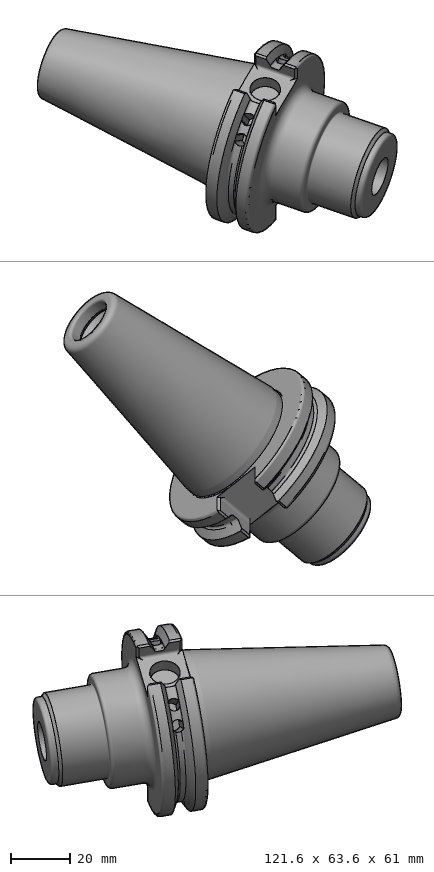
import cadquery as cq
import math

total_length = 121.6
flange_start = 71.3
flange_end = 87.2
flange_middle = (flange_start + flange_end) / 2
root_rounding = 0.4

gauge_plane = 68.2
gauge_radius = 22.3
taper_slope = 7 / 48
small_end_radius = gauge_radius - gauge_plane * taper_slope
small_end_rounding = 2.1

flange_radius = 31.8
flange_rounding = 1.0
groove_top_half_width = 3.5
groove_bottom_half_width = 1.8
groove_side_angle = math.radians(60)
groove_side_depth = (groove_top_half_width - groove_bottom_half_width) * math.tan(groove_side_angle)
groove_corner_rounding = 0.9
groove_floor_radius = flange_radius - groove_side_depth - groove_corner_rounding

collar_end = 102.0
collar_radius = 19.7
collar_root_rounding = 3.0
collar_edge_rounding = 1.2
nose_end = 119.2
nose_radius = 16.0
spigot_radius = 15.0
nose_chamfer = nose_radius - spigot_radius
spigot_rounding = 1.1

bore_radius = 6.7
pilot_radius = 8.0
pilot_depth = 4.4
pilot_mouth_rounding = 1.0
undercut_radius = 8.5
undercut_length = 0.7
countersink_depth = undercut_radius - bore_radius

slot_width = 16.2
upper_slot_floor = 24.8
lower_slot_floor = 22.5
slot_corner_rounding = 1.0
slot_edge_chamfer = 0.9
slot_rim_chamfer_drop = 0.6

pocket_diameter = 10.2
pocket_depth = 4.6

groove_hole_diameter = 4.3
groove_hole_depth = 8.5
groove_hole_angles = (30, 45)


def revolve_about_x(sketch):
    return sketch.close().revolve(360, (0, 0, 0), (1, 0, 0))


def taper_shank():
    """7:24 taper followed by a short straight neck that runs into the flange."""
    sketch = (
        cq.Workplane("XY")
        .lineTo(0, small_end_radius)
        .lineTo(gauge_plane, gauge_radius)
        .lineTo(flange_middle, gauge_radius)
        .lineTo(flange_middle, 0)
    )
    return revolve_about_x(sketch).faces("<X").edges().fillet(small_end_rounding)


def flange():
    length = flange_end - flange_start
    disc = cq.Workplane("YZ", origin=(flange_start, 0, 0)).circle(flange_radius).extrude(length)
    return disc.edges().fillet(flange_rounding)


def flange_root_ring():
    """Concave ring blending the shank into the flange face."""
    r = root_rounding
    sketch = (
        cq.Workplane("XY")
        .moveTo(flange_start - r, gauge_radius)
        .radiusArc((flange_start, gauge_radius + r), -r)
        .lineTo(flange_start + r, gauge_radius + r)
        .lineTo(flange_start + r, gauge_radius)
    )
    return revolve_about_x(sketch)


def front_body():
    """Collar, nose and end spigot in one stepped profile."""
    root = collar_root_rounding
    edge = collar_edge_rounding
    sketch = (
        cq.Workplane("XY")
        .moveTo(flange_middle, 0)
        .lineTo(flange_middle, collar_radius + root)
        .lineTo(flange_end, collar_radius + root)
        .radiusArc((flange_end + root, collar_radius), -root)
        .lineTo(collar_end - edge, collar_radius)
        .radiusArc((collar_end, collar_radius - edge), edge)
        .lineTo(collar_end, nose_radius + root_rounding)
        .radiusArc((collar_end + root_rounding, nose_radius), -root_rounding)
        .lineTo(nose_end - nose_chamfer, nose_radius)
        .lineTo(nose_end, spigot_radius)
        .lineTo(total_length - spigot_rounding, spigot_radius)
        .radiusArc((total_length, spigot_radius - spigot_rounding), spigot_rounding)
        .lineTo(total_length, 0)
    )
    return revolve_about_x(sketch)


def bore():
    """Through bore with a rounded pilot, an undercut and a 45-degree countersink."""
    mouth = pilot_mouth_rounding
    countersink_start = pilot_depth + undercut_length
    countersink_end = countersink_start + countersink_depth
    sketch = (
        cq.Workplane("XY")
        .lineTo(0, pilot_radius + mouth)
        .radiusArc((mouth, pilot_radius), -mouth)
        .lineTo(pilot_depth, pilot_radius)
        .lineTo(pilot_depth, undercut_radius)
        .lineTo(countersink_start, undercut_radius)
        .lineTo(countersink_end, bore_radius)
        .lineTo(total_length, bore_radius)
        .lineTo(total_length, 0)
    )
    return revolve_about_x(sketch)


def v_groove():
    """Ring cutter: sloping sides above a narrow channel with rounded floor corners."""
    side_end_radius = flange_radius - groove_side_depth
    floor_half_width = groove_bottom_half_width - groove_corner_rounding
    sketch = (
        cq.Workplane("XY", origin=(flange_middle, 0, 0))
        .moveTo(-groove_top_half_width, flange_radius)
        .lineTo(-groove_bottom_half_width, side_end_radius)
        .radiusArc((-floor_half_width, groove_floor_radius), -groove_corner_rounding)
        .lineTo(floor_half_width, groove_floor_radius)
        .radiusArc((groove_bottom_half_width, side_end_radius), -groove_corner_rounding)
        .lineTo(groove_top_half_width, flange_radius)
    )
    return revolve_about_x(sketch)


def drive_slot(floor):
    """Upward-opening slot cutter with rounded floor corners and chamfered edges."""
    length = flange_end - flange_start
    height = flange_radius - floor
    half_width = slot_width / 2
    channel = (
        cq.Workplane("XY", origin=(flange_middle, 0, floor))
        .rect(length, slot_width)
        .extrude(height)
        .edges("|X and <Z")
        .fillet(slot_corner_rounding)
    )
    flared_half_width = half_width + slot_edge_chamfer
    slot_floor_plane = cq.Workplane("XY", origin=(0, 0, floor))

    for face, inward in ((flange_start, 1), (flange_end, -1)):
        tip = face + inward * flared_half_width
        flare = slot_floor_plane.polyline([(face, -flared_half_width), (tip, 0), (face, flared_half_width)])
        channel = channel.union(flare.close().extrude(height))

    rim_z = math.sqrt(flange_radius**2 - half_width**2)
    outer_rim_z = math.sqrt(flange_radius**2 - flared_half_width**2)
    rim_flare = (
        cq.Workplane("YZ", origin=(flange_start, 0, 0))
        .moveTo(-flared_half_width, flange_radius)
        .lineTo(-flared_half_width, outer_rim_z)
        .lineTo(-half_width, rim_z - slot_rim_chamfer_drop)
        .lineTo(half_width, rim_z - slot_rim_chamfer_drop)
        .lineTo(flared_half_width, outer_rim_z)
        .lineTo(flared_half_width, flange_radius)
        .close()
        .extrude(length)
    )
    return channel.union(rim_flare)


def slot_pocket():
    return (
        cq.Workplane("XY", origin=(flange_middle, 0, upper_slot_floor - pocket_depth))
        .circle(pocket_diameter / 2)
        .extrude(pocket_depth)
    )


def groove_hole(angle):
    """Radial hole, flattened to the channel width, tilted from +Z about the spindle axis."""
    height = flange_radius - groove_floor_radius + groove_hole_depth
    base = cq.Workplane("XY", origin=(flange_middle, 0, groove_floor_radius - groove_hole_depth))
    cylinder = base.circle(groove_hole_diameter / 2).extrude(height)
    channel = base.rect(2 * groove_bottom_half_width, groove_hole_diameter).extrude(height)
    return cylinder.intersect(channel).rotate((0, 0, 0), (1, 0, 0), angle)


result = taper_shank().union(flange()).union(flange_root_ring()).union(front_body())
result = result.cut(v_groove())
for hole_angle in groove_hole_angles:
    result = result.cut(groove_hole(hole_angle)).cut(groove_hole(-hole_angle))
result = result.cut(drive_slot(upper_slot_floor))
result = result.cut(drive_slot(lower_slot_floor).rotate((0, 0, 0), (1, 0, 0), 180))
result = result.cut(slot_pocket()).cut(bore())